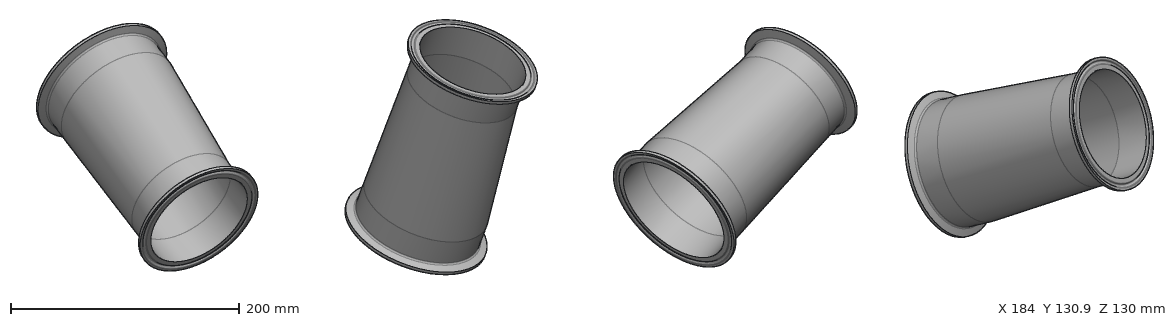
import cadquery as cq
import math

length = 184.0
ferrule_length = 30.0

large_flange_d = 130.0
large_tube_d = 114.3
large_bore_d = 108.4

small_flange_d = 119.0
small_tube_d = 101.5
small_bore_d = 97.5
small_offset_y = (small_tube_d - large_tube_d) / 2

rim_width = 3.0
back_angle = math.radians(20)
neck_radius = 1.8

groove_rim_inset = 2.2
groove_width = 4.2
groove_lip_radius = 0.7


def ferrule(flange_d, tube_d, bore_d):
    """Clamp ferrule around the X axis, with its end face at X = 0."""
    flange_r = flange_d / 2
    tube_r = tube_d / 2
    bore_r = bore_d / 2

    neck_start_r = tube_r + neck_radius * (1 - math.sin(back_angle))
    neck_start_x = rim_width + (flange_r - neck_start_r) * math.tan(back_angle)
    neck_center_x = neck_start_x + neck_radius * math.cos(back_angle)
    neck_mid_angle = (math.pi / 2 + back_angle) / 2
    neck_mid = (
        neck_center_x - neck_radius * math.cos(neck_mid_angle),
        tube_r + neck_radius * (1 - math.sin(neck_mid_angle)),
    )

    groove_center_r = flange_r - groove_rim_inset - groove_width / 2
    half_width = groove_width / 2
    lip_to_floor = math.hypot(half_width, groove_lip_radius)
    floor_radius = lip_to_floor - groove_lip_radius
    tangent_x = groove_lip_radius * floor_radius / lip_to_floor
    tangent_r = half_width * floor_radius / lip_to_floor
    lip_mid_angle = math.atan2(half_width, groove_lip_radius) / 2
    lip_mid_x = groove_lip_radius * (1 - math.cos(lip_mid_angle))
    lip_mid_r = half_width - groove_lip_radius * math.sin(lip_mid_angle)

    profile = (
        cq.Workplane("XY")
        .moveTo(0, bore_r)
        .lineTo(0, groove_center_r - half_width)
        .threePointArc(
            (lip_mid_x, groove_center_r - lip_mid_r),
            (tangent_x, groove_center_r - tangent_r),
        )
        .threePointArc(
            (floor_radius, groove_center_r),
            (tangent_x, groove_center_r + tangent_r),
        )
        .threePointArc(
            (lip_mid_x, groove_center_r + lip_mid_r),
            (0, groove_center_r + half_width),
        )
        .lineTo(0, flange_r)
        .lineTo(rim_width, flange_r)
        .lineTo(neck_start_x, neck_start_r)
        .threePointArc(neck_mid, (neck_center_x, tube_r))
        .lineTo(ferrule_length, tube_r)
        .lineTo(ferrule_length, bore_r)
        .close()
    )
    return profile.revolve(360, (0, 0, 0), (1, 0, 0))


def eccentric_cone(large_d, small_d):
    """Solid oblique cone joining the two ferrules."""
    return (
        cq.Workplane("YZ", origin=(ferrule_length, 0, 0))
        .circle(large_d / 2)
        .workplane(offset=length - 2 * ferrule_length)
        .center(small_offset_y, 0)
        .circle(small_d / 2)
        .loft(ruled=True)
    )


large_end = ferrule(large_flange_d, large_tube_d, large_bore_d)
small_end = (
    ferrule(small_flange_d, small_tube_d, small_bore_d)
    .mirror("YZ")
    .translate((length, small_offset_y, 0))
)
reducer = eccentric_cone(large_tube_d, small_tube_d).cut(
    eccentric_cone(large_bore_d, small_bore_d)
)

result = large_end.union(reducer).union(small_end)